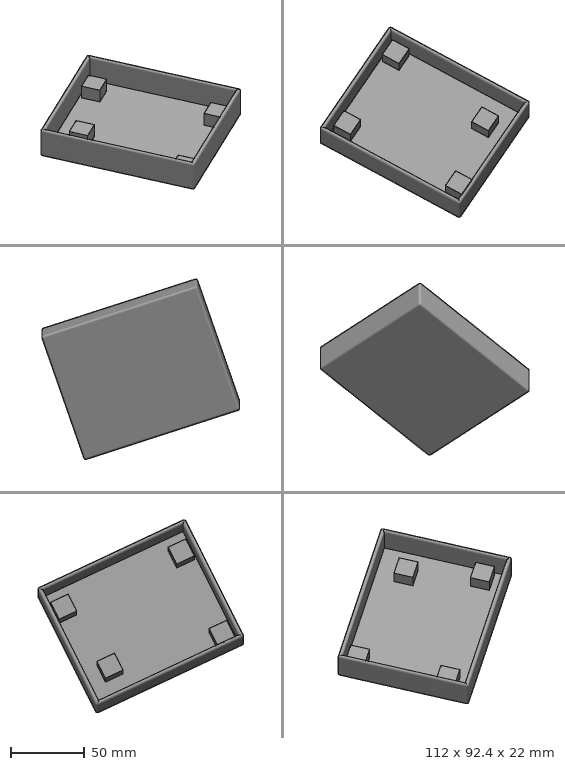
import cadquery as cq

length = 112.0
width = 92.4
height = 22.0
wall = 3.0
floor = 3.0
edge_radius = wall / 2

post_side = 13.3
post_height = 10.0
corner_post_x = 44.6
back_post_y = 28.6
front_post_y = -35.3
inset_post_x = -34.4
inset_post_y = -22.7
post_centers = [
    (-corner_post_x, back_post_y),
    (corner_post_x, back_post_y),
    (corner_post_x, front_post_y),
    (inset_post_x, inset_post_y),
]


def make_rim_round():
    """Waste above the inner rim edge: a shallow block minus the round bars along the wall tops."""
    crest_length = length - wall
    crest_width = width - wall
    bar_z = height - edge_radius
    waste = cq.Workplane("XY", origin=(0, 0, bar_z)).rect(crest_length, crest_width).extrude(edge_radius)
    for side in (-1, 1):
        long_bar = (
            cq.Workplane("YZ", origin=(-length / 2, side * crest_width / 2, bar_z))
            .circle(edge_radius)
            .extrude(length)
        )
        short_bar = (
            cq.Workplane("XZ", origin=(side * crest_length / 2, width / 2, bar_z))
            .circle(edge_radius)
            .extrude(width)
        )
        waste = waste.cut(long_bar).cut(short_bar)
    return waste


def make_tray():
    """Open box with all outer edges and the inner rim edge rounded."""
    block = (
        cq.Workplane("XY")
        .box(length, width, height, centered=(True, True, False))
        .edges()
        .fillet(edge_radius)
    )
    cavity = (
        cq.Workplane("XY", origin=(0, 0, floor))
        .rect(length - 2 * wall, width - 2 * wall)
        .extrude(height - edge_radius - floor)
    )
    return block.cut(cavity).cut(make_rim_round())


def make_posts():
    """Posts start at the tray underside so they fuse with the floor."""
    return cq.Workplane("XY").pushPoints(post_centers).rect(post_side, post_side).extrude(floor + post_height)


result = make_tray().union(make_posts()).clean()